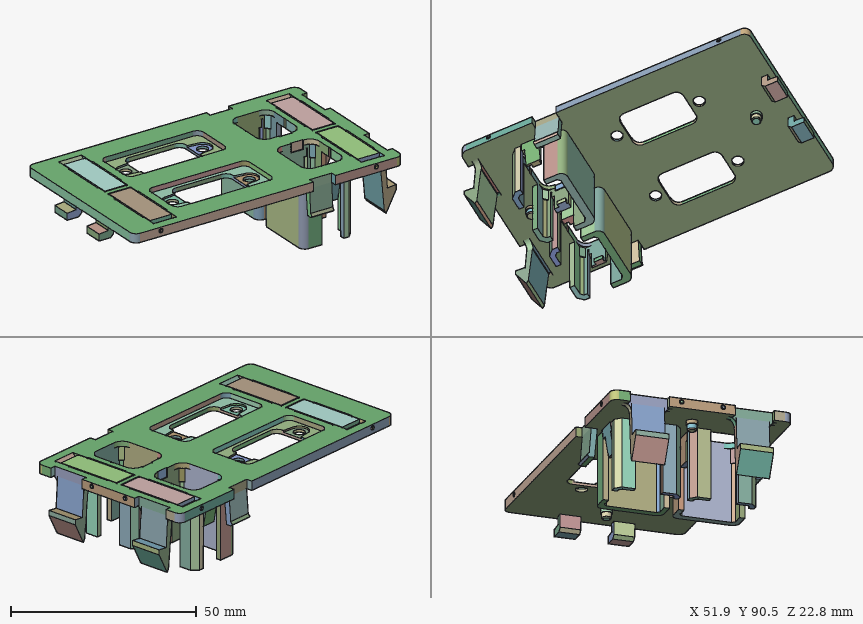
import cadquery as cq


PLATE_WIDTH = 51.5
PLATE_LENGTH = 87.5
PLATE_THICKNESS = 2.8
PLATE_CORNER_RADIUS = 2.0
PLATE_BOTTOM = -PLATE_THICKNESS
SIDE = PLATE_WIDTH / 2
END = PLATE_LENGTH / 2
MIRRORED = (-1, 1)

LATCH_X = 15.0
LATCH_NOTCH_WIDTH = 11.2
LATCH_NOTCH_DEPTH = 1.7
CLIP_Y = 18.1
CLIP_NOTCH_LENGTH = 7.2
CLIP_NOTCH_DEPTH = 1.8

JACK_X = 10.8
JACK_Y = 23.45
JACK_WIDTH = 15.9
JACK_LENGTH = 12.9
JACK_CORNER_RADIUS = 2.9
JACK_RIM_DEPTH = 1.6
REAR_GROOVE_WIDTH = 0.9
REAR_GROOVE_DEPTH = 0.1
SHROUD_BOTTOM = -22.8
SHROUD_WIDTH = 19.0
SHROUD_FRONT = 14.75
SHROUD_REAR = 31.4
SHROUD_FRONT_RADIUS = 2.0
SHROUD_REAR_CHAMFER = 1.65
CAVITY_STEP = -5.8
UPPER_CAVITY_CHAMFER = 1.2
LOWER_CAVITY_CHAMFER = 0.8
REAR_GAP_WIDTH = 7.9
SIDE_GAP_START = 21.05
SIDE_GAP_END = 28.1

FINGER_Y = 24.75
FINGER_WIDTH = 4.3
FINGER_BOTTOM = -11.1
FINGER_HEAD_START = SIDE_GAP_START
FINGER_HEAD_END = 27.7
FINGER_HEAD_BOTTOM = -5.2
CATCH_Y = 24.3
CATCH_WIDTH = 2.5
CATCH_REACH = 0.95
CATCH_HEIGHT = 1.5
OUTER_FINGER_BULGE = 0.4
OUTER_FINGER_INSET = 1.0
RELIEF_DEPTH = 0.3
RELIEF_LENGTH = 3.9

DSUB_X = 11.25
DSUB_Y = -9.02
DSUB_RECESS_WIDTH = 14.0
DSUB_RECESS_LENGTH = 32.3
DSUB_RECESS_RADIUS = 2.0
DSUB_RECESS_DEPTH = 1.5
DSUB_WIDTH = 11.6
DSUB_LENGTH = 19.2
DSUB_CORNER_RADIUS = 2.2
SCREW_SPACING = 25.0
SCREW_DIAMETER = 3.3
SCREW_PAD_RADIUS = 2.8
SCREW_PAD_BASE_WIDTH = 6.3
SCREW_PAD_DEPTH = 0.5

LABEL_ROWS = (35.8, -31.7)
POCKET_INNER = 0.7
POCKET_OUTER = 22.9
POCKET_RAMP = 1.2
POCKET_WIDTH = 7.4
POCKET_DEPTH = 1.2
LABEL_INNER = 1.05
LABEL_OUTER = 20.8
LABEL_WIDTH = 7.0
SNAP_SLOT_INNER = 4.1
SNAP_SLOT_OUTER = 17.8
SNAP_SLOT_DEPTH = 0.3

LATCH_WIDTH = 9.45
LATCH_ROOT_RADIUS = 2.1
LATCH_ROOT_REAR = END - LATCH_NOTCH_DEPTH
LATCH_ROOT_FRONT = 40.2
LATCH_LEAN = 0.6
BARB_REACH = 45.55
BARB_TOP = -11.6
BARB_INNER_TOP = -11.9
BARB_NOSE = -13.1
BARB_TIP_Y = 42.25
BARB_TIP = -19.4
LATCH_HEEL_Y = 41.65
LATCH_HEEL = -18.4

HOOK_X = 7.7
HOOK_WIDTH = 5.95
HOOK_STEM_REAR = -40.2
HOOK_STEM_FRONT = -42.0
HOOK_TIP = -44.95
HOOK_TOP = -5.5
HOOK_HEEL_TOP = -5.2
HOOK_BOTTOM = -7.6
HOOK_CHAMFER = 1.0

CLIP_TOP_OUTER = SIDE - CLIP_NOTCH_DEPTH
CLIP_THICKNESS = 1.75
CLIP_TIP_THICKNESS = 1.5
CLIP_LEAN = 0.55
CLIP_BOTTOM = -11.2
CLIP_NOSE_TOP = -9.9
CLIP_NOSE_Z = -10.7
CLIP_NOSE_X = 25.1

PEG_YS = (35.4, -33.0)
PEG_RADIUS = 1.6
PEG_COLLAR_HEIGHT = 1.1
PEG_NECK_RADIUS = 1.4
PEG_SHOULDER_RADIUS = 1.3
PEG_SHOULDER_HEIGHT = 2.4
PEG_TIP_RADIUS = 1.05
PEG_HEIGHT = 2.75
PIP_RADIUS = 0.65
PIP_TIP_RADIUS = 0.4
PIP_HEIGHT = 0.2
PIP_Z = -1.05
SIDE_PIP_Y = 35.0
REAR_PIP_X = 5.95


def block(x0, x1, y0, y1, z0, z1):
    """Box between two opposite corners, given in any order along each axis."""
    size = (abs(x1 - x0), abs(y1 - y0), abs(z1 - z0))
    return cq.Workplane("XY").box(*size).translate(((x0 + x1) / 2, (y0 + y1) / 2, (z0 + z1) / 2))


def rounded_block(width, length, radius, center_x, center_y, top, bottom):
    """Upright block with rounded vertical edges."""
    body = block(-width / 2, width / 2, -length / 2, length / 2, bottom, top)
    return body.edges("|Z").fillet(radius).translate((center_x, center_y, 0))


def side_profile(points, center_x, width):
    """Outline in Y and Z, extruded along X about a centre."""
    body = cq.Workplane("YZ").polyline(points).close().extrude(width / 2, both=True)
    return body.translate((center_x, 0, 0))


def front_profile(points, center_y, length):
    """Outline in X and Z, extruded along Y about a centre."""
    body = cq.Workplane("XZ").polyline(points).close().extrude(length / 2, both=True)
    return body.translate((0, center_y, 0))


def plate_blank():
    """Rounded plate with a notch for each rear latch and each side clip."""
    plate = rounded_block(PLATE_WIDTH, PLATE_LENGTH, PLATE_CORNER_RADIUS, 0, 0, 0, PLATE_BOTTOM)
    for side in MIRRORED:
        left = side * LATCH_X - LATCH_NOTCH_WIDTH / 2
        right = left + LATCH_NOTCH_WIDTH
        plate = plate.cut(block(left, right, END - LATCH_NOTCH_DEPTH, END, PLATE_BOTTOM, 0))
        front = CLIP_Y - CLIP_NOTCH_LENGTH / 2
        rear = front + CLIP_NOTCH_LENGTH
        plate = plate.cut(block(side * (SIDE - CLIP_NOTCH_DEPTH), side * SIDE, front, rear, PLATE_BOTTOM, 0))
    return plate


def jack_shroud(center_x):
    """Walls below the plate around one jack opening, with gaps in both sides and the rear."""
    left = center_x - SHROUD_WIDTH / 2
    right = center_x + SHROUD_WIDTH / 2
    shroud = block(left, right, SHROUD_FRONT, SHROUD_REAR, SHROUD_BOTTOM, PLATE_BOTTOM)
    shroud = shroud.edges("|Z and <Y").fillet(SHROUD_FRONT_RADIUS)
    shroud = shroud.edges("|Z and >Y").chamfer(SHROUD_REAR_CHAMFER)
    shroud = shroud.cut(block(left, right, SIDE_GAP_START, SIDE_GAP_END, SHROUD_BOTTOM, PLATE_BOTTOM))
    gap_left = center_x - REAR_GAP_WIDTH / 2
    gap_right = center_x + REAR_GAP_WIDTH / 2
    return shroud.cut(block(gap_left, gap_right, JACK_Y, SHROUD_REAR, SHROUD_BOTTOM, PLATE_BOTTOM))


def jack_opening(center_x):
    """Rounded rim at the top, then a cavity whose corner chamfers shrink at a step.

    A shallow groove runs down the middle of the rear wall, and a finger relief is cut in the inner wall.
    """
    opening = rounded_block(
        JACK_WIDTH, JACK_LENGTH, JACK_CORNER_RADIUS, center_x, JACK_Y, 0, -JACK_RIM_DEPTH
    )
    levels = (
        (-JACK_RIM_DEPTH, CAVITY_STEP, UPPER_CAVITY_CHAMFER),
        (CAVITY_STEP, SHROUD_BOTTOM, LOWER_CAVITY_CHAMFER),
    )
    for top, bottom, chamfer in levels:
        cavity = cq.Workplane("XY").box(JACK_WIDTH, JACK_LENGTH, top - bottom).edges("|Z").chamfer(chamfer)
        opening = opening.union(cavity.translate((center_x, JACK_Y, (top + bottom) / 2)))
    groove_left = center_x - REAR_GROOVE_WIDTH / 2
    groove_right = center_x + REAR_GROOVE_WIDTH / 2
    groove_rear = JACK_Y + JACK_LENGTH / 2 + REAR_GROOVE_DEPTH
    opening = opening.union(block(groove_left, groove_right, JACK_Y, groove_rear, PLATE_BOTTOM, 0))
    inner_side = -1 if center_x > 0 else 1
    wall = center_x + inner_side * JACK_WIDTH / 2
    relief = block(
        wall,
        wall + inner_side * RELIEF_DEPTH,
        FINGER_Y - RELIEF_LENGTH / 2,
        FINGER_Y + RELIEF_LENGTH / 2,
        PLATE_BOTTOM,
        0,
    )
    return opening.union(relief)


def spring_finger(center_x, side):
    """T-shaped tongue hanging in a side gap, with a catch pointing into the jack opening.

    On the sides away from the plate's middle the outer face leans inwards towards the tip.
    """
    inner = center_x + side * JACK_WIDTH / 2
    outer_top = outer_bottom = center_x + side * SHROUD_WIDTH / 2
    if side * center_x > 0:
        outer_top += side * OUTER_FINGER_BULGE
        outer_bottom -= side * OUTER_FINGER_INSET
    outline = [
        (inner, PLATE_BOTTOM),
        (outer_top, PLATE_BOTTOM),
        (outer_bottom, FINGER_BOTTOM),
        (inner, FINGER_BOTTOM),
    ]
    head_width = FINGER_HEAD_END - FINGER_HEAD_START
    finger = front_profile(outline, FINGER_HEAD_START + head_width / 2, head_width)
    below_head = (
        (FINGER_HEAD_START, FINGER_Y - FINGER_WIDTH / 2),
        (FINGER_Y + FINGER_WIDTH / 2, FINGER_HEAD_END),
    )
    for front, rear in below_head:
        finger = finger.cut(block(inner, outer_top, front, rear, FINGER_BOTTOM, FINGER_HEAD_BOTTOM))
    catch = block(
        inner - side * CATCH_REACH,
        inner,
        CATCH_Y - CATCH_WIDTH / 2,
        CATCH_Y + CATCH_WIDTH / 2,
        FINGER_BOTTOM,
        FINGER_BOTTOM + CATCH_HEIGHT,
    )
    return finger.union(catch)


def screw_pad(center_x, end):
    """Shallow recess around one screw hole: a round end that flares towards the D-sub opening."""
    screw_y = DSUB_Y + end * SCREW_SPACING / 2
    half_base = SCREW_PAD_BASE_WIDTH / 2
    pad = (
        cq.Workplane("XY")
        .moveTo(center_x - half_base, DSUB_Y + end * DSUB_LENGTH / 2)
        .lineTo(center_x - SCREW_PAD_RADIUS, screw_y)
        .threePointArc((center_x, screw_y + end * SCREW_PAD_RADIUS), (center_x + SCREW_PAD_RADIUS, screw_y))
        .lineTo(center_x + half_base, DSUB_Y + end * DSUB_LENGTH / 2)
        .close()
        .extrude(-DSUB_RECESS_DEPTH - SCREW_PAD_DEPTH)
    )
    hole = cq.Workplane("XY").center(center_x, screw_y).circle(SCREW_DIAMETER / 2).extrude(PLATE_BOTTOM)
    return pad.union(hole)


def dsub_opening(center_x):
    """Through opening in a shallow recess, with a screw pad at each end."""
    opening = rounded_block(
        DSUB_WIDTH, DSUB_LENGTH, DSUB_CORNER_RADIUS, center_x, DSUB_Y, 0, PLATE_BOTTOM
    )
    recess = rounded_block(
        DSUB_RECESS_WIDTH, DSUB_RECESS_LENGTH, DSUB_RECESS_RADIUS, center_x, DSUB_Y, 0, -DSUB_RECESS_DEPTH
    )
    opening = opening.union(recess)
    for end in MIRRORED:
        opening = opening.union(screw_pad(center_x, end))
    return opening


def label_pocket(side, row_y):
    """Pocket with a finger ramp at its outer end and a snap slot along each long edge."""
    outline = [
        (side * POCKET_INNER, 0),
        (side * POCKET_OUTER, 0),
        (side * (POCKET_OUTER - POCKET_RAMP), -POCKET_DEPTH),
        (side * POCKET_INNER, -POCKET_DEPTH),
    ]
    slot_reach = POCKET_WIDTH / 2 + SNAP_SLOT_DEPTH
    slots = block(
        side * SNAP_SLOT_INNER,
        side * SNAP_SLOT_OUTER,
        row_y - slot_reach,
        row_y + slot_reach,
        -POCKET_DEPTH,
        0,
    )
    return front_profile(outline, row_y, POCKET_WIDTH).union(slots)


def rear_latch(center_x):
    """Leaning stem with a barb behind it and a root that flares out sideways into the plate."""
    outline = [
        (LATCH_ROOT_REAR, PLATE_BOTTOM),
        (LATCH_ROOT_REAR + LATCH_LEAN, BARB_INNER_TOP),
        (BARB_REACH, BARB_TOP),
        (BARB_REACH, BARB_NOSE),
        (BARB_TIP_Y, BARB_TIP),
        (LATCH_HEEL_Y, LATCH_HEEL),
        (LATCH_ROOT_FRONT, PLATE_BOTTOM),
    ]
    latch = side_profile(outline, center_x, LATCH_WIDTH)
    root = block(
        center_x - LATCH_WIDTH / 2 - LATCH_ROOT_RADIUS,
        center_x + LATCH_WIDTH / 2 + LATCH_ROOT_RADIUS,
        LATCH_ROOT_FRONT,
        LATCH_ROOT_REAR,
        PLATE_BOTTOM - LATCH_ROOT_RADIUS,
        PLATE_BOTTOM,
    )
    for side in MIRRORED:
        corner_x = center_x + side * (LATCH_WIDTH / 2 + LATCH_ROOT_RADIUS)
        hollow = (
            cq.Workplane("XZ")
            .center(corner_x, PLATE_BOTTOM - LATCH_ROOT_RADIUS)
            .circle(LATCH_ROOT_RADIUS)
            .extrude(-PLATE_LENGTH)
        )
        root = root.cut(hollow)
    return latch.union(root)


def front_hook(center_x):
    """Short stem below the front edge with a foot pointing forwards; the foot's top slopes slightly."""
    outline = [
        (HOOK_STEM_REAR, PLATE_BOTTOM),
        (HOOK_STEM_REAR, HOOK_BOTTOM + HOOK_CHAMFER),
        (HOOK_STEM_REAR - HOOK_CHAMFER, HOOK_BOTTOM),
        (HOOK_TIP, HOOK_BOTTOM),
        (HOOK_TIP, HOOK_TOP),
        (HOOK_STEM_FRONT, HOOK_HEEL_TOP),
        (HOOK_STEM_FRONT, PLATE_BOTTOM),
    ]
    return side_profile(outline, center_x, HOOK_WIDTH)


def side_clip(side):
    """Tongue below a side notch, leaning outwards and ending in a pointed nose."""
    nose_root = CLIP_TOP_OUTER + CLIP_LEAN
    outline = [
        (CLIP_TOP_OUTER, PLATE_BOTTOM),
        (nose_root, CLIP_NOSE_TOP),
        (CLIP_NOSE_X, CLIP_NOSE_Z),
        (nose_root, CLIP_BOTTOM),
        (nose_root - CLIP_TIP_THICKNESS, CLIP_BOTTOM),
        (CLIP_TOP_OUTER - CLIP_THICKNESS, PLATE_BOTTOM),
    ]
    return front_profile([(side * x, z) for x, z in outline], CLIP_Y, CLIP_NOTCH_LENGTH)


def peg(center_y):
    """Round collar under the plate with a tapered neck and tip."""
    half_section = [
        (0, PLATE_BOTTOM),
        (PEG_RADIUS, PLATE_BOTTOM),
        (PEG_RADIUS, PLATE_BOTTOM - PEG_COLLAR_HEIGHT),
        (PEG_NECK_RADIUS, PLATE_BOTTOM - PEG_COLLAR_HEIGHT),
        (PEG_SHOULDER_RADIUS, PLATE_BOTTOM - PEG_SHOULDER_HEIGHT),
        (PEG_TIP_RADIUS, PLATE_BOTTOM - PEG_HEIGHT),
        (0, PLATE_BOTTOM - PEG_HEIGHT),
    ]
    body = cq.Workplane("XZ").polyline(half_section).close().revolve(360, (0, 0), (0, 1))
    return body.translate((0, center_y, 0))


def edge_pip(base, direction):
    """Small cone frustum standing on an edge face of the plate."""
    cone = cq.Solid.makeCone(PIP_RADIUS, PIP_TIP_RADIUS, PIP_HEIGHT, cq.Vector(*base), cq.Vector(*direction))
    return cq.Workplane("XY").add(cone)


def make_plate():
    """Plate with its shrouds, fingers, latches, hooks, clips, pegs and pips as one solid."""
    plate = plate_blank()
    for side in MIRRORED:
        jack_x = side * JACK_X
        plate = plate.union(jack_shroud(jack_x)).cut(jack_opening(jack_x))
        for finger_side in MIRRORED:
            plate = plate.union(spring_finger(jack_x, finger_side))
        plate = plate.cut(dsub_opening(side * DSUB_X))
        for row_y in LABEL_ROWS:
            plate = plate.cut(label_pocket(side, row_y))
        plate = plate.union(rear_latch(side * LATCH_X))
        plate = plate.union(front_hook(side * HOOK_X))
        plate = plate.union(side_clip(side))
        for pip_y in (-SIDE_PIP_Y, SIDE_PIP_Y):
            plate = plate.union(edge_pip((side * SIDE, pip_y, PIP_Z), (side, 0, 0)))
        plate = plate.union(edge_pip((side * REAR_PIP_X, END, PIP_Z), (0, 1, 0)))
    for peg_y in PEG_YS:
        plate = plate.union(peg(peg_y))
    return plate


def make_label(side, row_y):
    """Flat label lying on the pocket floor, flush with the plate's top."""
    half_width = LABEL_WIDTH / 2
    return block(
        side * LABEL_INNER, side * LABEL_OUTER, row_y - half_width, row_y + half_width, -POCKET_DEPTH, 0
    )


plate = make_plate()
labels = [make_label(side, row_y) for side in MIRRORED for row_y in LABEL_ROWS]
result = cq.Compound.makeCompound([plate.val(), *[label.val() for label in labels]])